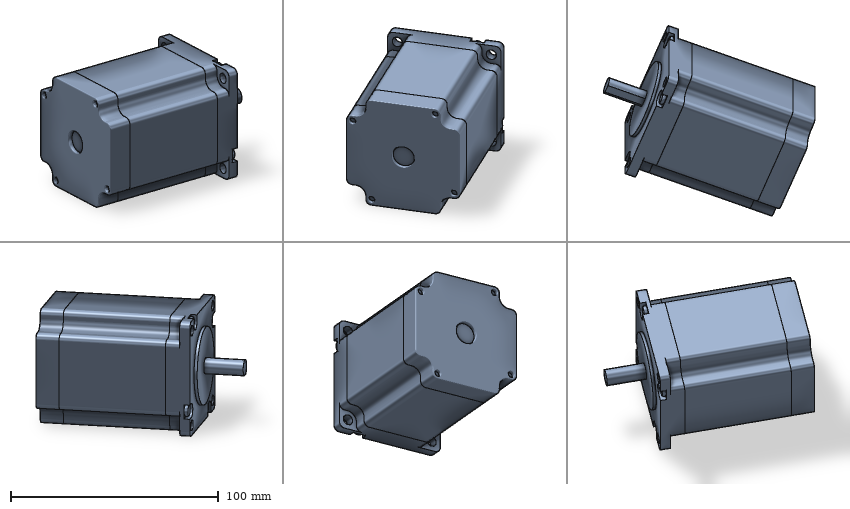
import cadquery as cq

WIDTH = 57.0
HALF = WIDTH / 2
TOLERANCE = 0.01
SHAFT_TIP = 97.0
BOSS_FACE = 77.6
FLANGE_FACE = 76.0
FLANGE_BACK = 71.0
STATOR_FRONT = 64.0
STATOR_REAR = 11.5

CORNER_RADIUS = 3.0
MOUNT_HOLE_OFFSET = 23.6
MOUNT_HOLE_DIAMETER = 5.0
BOSS_DIAMETER = 38.1

NOTCH_DEPTH = 9.7
NOTCH_INNER_RADIUS = 5.0
NOTCH_EDGE_RADIUS = 2.9

SHAFT_DIAMETER = 8.0
SHAFT_FLAT_OFFSET = 3.5

REAR_EDGE_RADIUS = 0.5
REAR_RECESS_DIAMETER = 11.0
REAR_RECESS_DEPTH = 2.0

SCREW_COUNT = 4
SCREW_X = 15.9
SCREW_Z = 25.4
SCREW_DIAMETER = 3.0
SCREW_END = 1.9
HEAD_DIAMETER = 6.0
HEAD_END_DIAMETER = 5.0
HEAD_HEIGHT = 1.9
HEAD_SLOT_WIDTH = 7.0
HEAD_SLOT_DEPTH = 3.0
HEAD_SEAT = FLANGE_FACE - HEAD_SLOT_DEPTH


def plane_at(y):
    """Sketch plane facing forward (+Y); its local axes are -X and Z."""
    return cq.Workplane(cq.Plane(origin=(0, y, 0), xDir=(-1, 0, 0), normal=(0, 1, 0)))


def cylinder(diameter, y_start, y_end, x=0, z=0):
    return plane_at(y_start).center(-x, z).circle(diameter / 2).extrude(y_end - y_start)


def quarter_turns(shape):
    """The shape repeated at every screw position about the motor axis."""
    step = 360 / SCREW_COUNT
    return [shape.rotate((0, 0, 0), (0, 1, 0), i * step) for i in range(SCREW_COUNT)]


def notched_bar(y_start, y_end):
    """Square bar whose four corners are cut away by round-bottomed notches."""
    length = y_end - y_start
    bar = plane_at(y_start).rect(WIDTH, WIDTH).extrude(length)
    corners = plane_at(y_start).rect(WIDTH, WIDTH, forConstruction=True).vertices()
    notches = corners.rect(2 * NOTCH_DEPTH, 2 * NOTCH_DEPTH).extrude(length)
    notches = notches.edges("|Y").fillet(NOTCH_INNER_RADIUS)
    bar = bar.cut(notches)
    side = HALF - TOLERANCE
    outer_edges = bar.edges("|Y").filter(lambda e: max(abs(e.Center().x), abs(e.Center().z)) > side)
    return outer_edges.fillet(NOTCH_EDGE_RADIUS)


def cut_screw_holes(body, y_start, y_end):
    for hole in quarter_turns(cylinder(SCREW_DIAMETER, y_start, y_end, SCREW_X, SCREW_Z)):
        body = body.cut(hole)
    return body


def head_slot():
    """U-shaped slot with a round inner end, open to the front and to the side."""
    round_end = cylinder(HEAD_SLOT_WIDTH, HEAD_SEAT, FLANGE_FACE, SCREW_X, SCREW_Z)
    opening = (
        plane_at(HEAD_SEAT)
        .center(-SCREW_X, (SCREW_Z + HALF) / 2)
        .rect(HEAD_SLOT_WIDTH, HALF - SCREW_Z)
        .extrude(HEAD_SLOT_DEPTH)
    )
    return round_end.union(opening)


def make_shaft():
    flat_depth = SHAFT_DIAMETER / 2 - SHAFT_FLAT_OFFSET
    length = SHAFT_TIP - BOSS_FACE
    flat = (
        plane_at(BOSS_FACE)
        .center(0, -SHAFT_FLAT_OFFSET - flat_depth / 2)
        .rect(SHAFT_DIAMETER, flat_depth)
        .extrude(length)
    )
    return cylinder(SHAFT_DIAMETER, BOSS_FACE, SHAFT_TIP).cut(flat)


def make_front_housing():
    flange = plane_at(FLANGE_BACK).rect(WIDTH, WIDTH).extrude(FLANGE_FACE - FLANGE_BACK)
    flange = flange.edges("|Y").fillet(CORNER_RADIUS)
    housing = flange.union(notched_bar(STATOR_FRONT, FLANGE_BACK))
    housing = housing.union(cylinder(BOSS_DIAMETER, FLANGE_FACE, BOSS_FACE)).union(make_shaft())
    mount_hole = cylinder(MOUNT_HOLE_DIAMETER, FLANGE_BACK, FLANGE_FACE, MOUNT_HOLE_OFFSET, MOUNT_HOLE_OFFSET)
    for cutter in quarter_turns(mount_hole) + quarter_turns(head_slot()):
        housing = housing.cut(cutter)
    return cut_screw_holes(housing, STATOR_FRONT, HEAD_SEAT)


def make_stator():
    return cut_screw_holes(notched_bar(STATOR_REAR, STATOR_FRONT), STATOR_REAR, STATOR_FRONT)


def round_rear_rims(cover, diameter):
    """Round the rear rim of every hole of the given diameter."""
    rims = cover.faces("<Y").edges("%CIRCLE").filter(lambda e: abs(2 * e.radius() - diameter) < TOLERANCE)
    return rims.fillet(REAR_EDGE_RADIUS)


def make_rear_cover():
    cover = notched_bar(0, STATOR_REAR).faces("<Y").edges().fillet(REAR_EDGE_RADIUS)
    cover = cover.cut(cylinder(REAR_RECESS_DIAMETER, 0, REAR_RECESS_DEPTH))
    cover = cut_screw_holes(cover, 0, STATOR_REAR)
    cover = round_rear_rims(cover, REAR_RECESS_DIAMETER)
    return round_rear_rims(cover, SCREW_DIAMETER)


def make_screw():
    """Barrel-sided head on the slot floor, with a plain shank running back into the rear cover."""
    head_top = HEAD_SEAT + HEAD_HEIGHT
    head = (
        cq.Workplane("XY")
        .moveTo(0, HEAD_SEAT)
        .lineTo(HEAD_END_DIAMETER / 2, HEAD_SEAT)
        .threePointArc((HEAD_DIAMETER / 2, HEAD_SEAT + HEAD_HEIGHT / 2), (HEAD_END_DIAMETER / 2, head_top))
        .lineTo(0, head_top)
        .close()
        .revolve(360, (0, 0), (0, 1))
        .translate((SCREW_X, 0, SCREW_Z))
    )
    return head.union(cylinder(SCREW_DIAMETER, SCREW_END, HEAD_SEAT, SCREW_X, SCREW_Z))


front_housing = make_front_housing()
stator = make_stator()
rear_cover = make_rear_cover()
screws = quarter_turns(make_screw())

result = cq.Compound.makeCompound(
    [front_housing.val(), stator.val(), rear_cover.val(), *[screw.val() for screw in screws]]
)